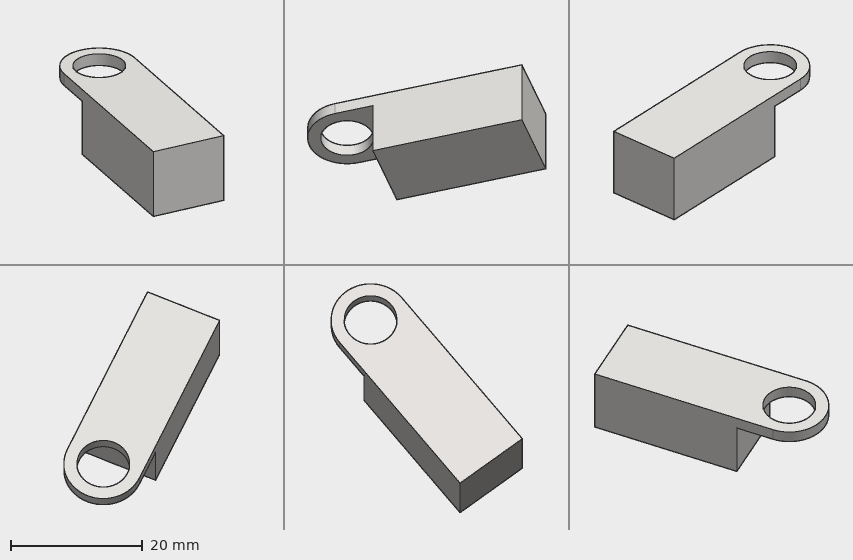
import cadquery as cq

length = 35.75
width = 12.0
height = 11.0

plate_thickness = 2.0
hole_diameter = 8.0
end_radius = width / 2
overhang = width

plate_bottom = height - plate_thickness


def make_block():
    """Solid block below the plate, from the overhang to the far end."""
    return (
        cq.Workplane("XY")
        .box(length - overhang, width, height, centered=(False, True, False))
        .translate((overhang, 0, 0))
    )


def make_plate():
    """Full-length top plate with a semicircular end."""
    return (
        cq.Workplane("XY", origin=(0, 0, plate_bottom))
        .moveTo(length, -end_radius)
        .lineTo(end_radius, -end_radius)
        .threePointArc((0, 0), (end_radius, end_radius))
        .lineTo(length, end_radius)
        .close()
        .extrude(plate_thickness)
    )


def make_hole():
    """Through hole concentric with the rounded end."""
    return (
        cq.Workplane("XY", origin=(end_radius, 0, plate_bottom))
        .circle(hole_diameter / 2)
        .extrude(plate_thickness)
    )


result = make_block().union(make_plate()).cut(make_hole()).clean()